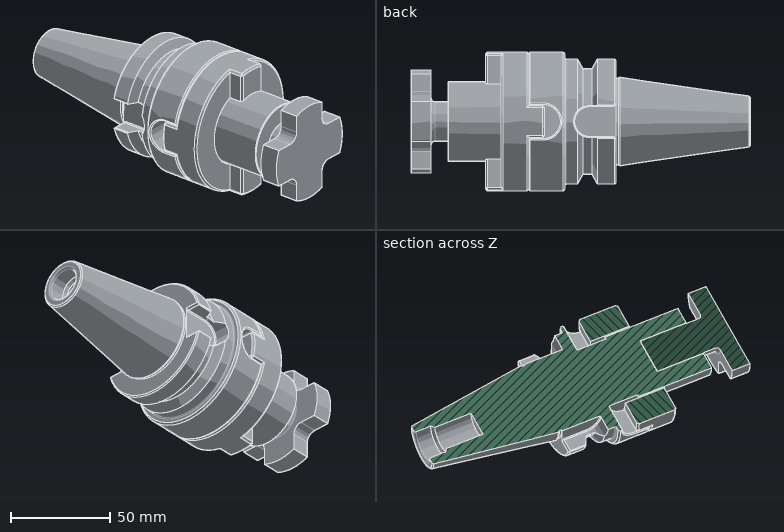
import cadquery as cq
import math


total_length = 170.4
overshoot = 1.7

tolerance = 0.002
edge_samples = (0.1, 0.5, 0.9)

taper_small_radius = 12.8
taper_length = 65.5
taper_slope = 7 / 24 / 2
taper_large_radius = taper_small_radius + taper_slope * taper_length
taper_end_chamfer = 0.7
relief_start = 66.3
relief_radius = 21.8

flange_start = 67.5
flange_radius = 63 / 2
flange_chamfer = 0.7
flange_fillet = 0.5
groove_radius = 26.5
groove_left = 76.9
groove_floor_left = 79.5
groove_floor_right = 84.0
groove_right = 86.9

collar_start = 93.0
collar_radius = 70.0 / 2
collar_end = 111.3
collar_chamfer = 1.0
collar_rim_chamfer = 0.7
pilot_radius = 40.0 / 2
pilot_end = 152.0
pilot_chamfer = 0.3

entry_bore_radius = 17 / 2
entry_bore_depth = 9.0
entry_fillet = 1.0
thread_bore_radius = 13.8 / 2
entry_cone_length = entry_bore_radius - thread_bore_radius
thread_bore_depth = 30.7

keyway_width = 16.0
keyway_floor = 22.3
keyway_end = 88.8
keyway_floor_chamfer = 0.5
keyway_mouth_chamfer = 1.0
keyway_rim_chamfer = 0.5

ring_bore_radius = 40.9 / 2
ring_face = 125.2
lug_width = 16.0
lug_chamfer = 1.0
back_lug_tip = 103.5
front_lug_tip = 133.0

lug_slot_width = 17.2
lug_slot_end = 95.5
lug_slot_floor = math.sqrt(ring_bore_radius**2 - (lug_width / 2) ** 2)

shank_radius = 20.0 / 2
shank_depth = 25.5
shank_fillet = 1.9
head_start = 160.3
head_radius = 25.99
head_lobe_width = 20.1
head_corner_radius = 5.0


def turned(points):
    """Solid of revolution about X from (x, radius) points."""
    return cq.Workplane("XY").polyline(points).close().revolve(360, (0, 0, 0), (1, 0, 0))


def cylinder(start, end, radius):
    """Cylinder along X."""
    return cq.Workplane("YZ", origin=(start, 0, 0)).circle(radius).extrude(end - start)


def round_ended_slot(end, open_end, width, floor):
    """Cutter for a slot on the +Y side with a round end at low or high X."""
    side = 1 if open_end > end else -1
    half = width / 2
    center = end + side * half
    height = collar_radius + overshoot - floor
    return (
        cq.Workplane("XZ", origin=(0, floor, 0))
        .moveTo(open_end, -half)
        .lineTo(center, -half)
        .threePointArc((end, 0), (center, half))
        .lineTo(open_end, half)
        .close()
        .extrude(-height)
    )


def both_sides(cutter):
    """The +Y cutter followed by its copy on the -Y side."""
    return [cutter.rotate((0, 0, 0), (1, 0, 0), angle) for angle in (0, 180)]


def keyway_cutter():
    """Drive keyway with a chamfered floor, mouth and outer rim."""
    half = keyway_width / 2
    slot = round_ended_slot(keyway_end, flange_start - overshoot, keyway_width, keyway_floor)
    slot = slot.faces("<Y").chamfer(keyway_floor_chamfer)

    wide = half + keyway_mouth_chamfer
    mouth = (
        cq.Workplane("XZ", origin=(0, keyway_floor, 0))
        .polyline([
            (flange_start, -wide),
            (flange_start, wide),
            (flange_start + keyway_mouth_chamfer, half),
            (flange_start + keyway_mouth_chamfer, -half),
        ])
        .close()
        .extrude(-flange_radius)
    )

    rim_start = math.sqrt(flange_radius**2 - half**2) - keyway_rim_chamfer
    rim_rise = flange_radius - rim_start
    rim = (
        cq.Workplane("YZ", origin=(flange_start, 0, 0))
        .polyline([
            (rim_start, -half),
            (rim_start, half),
            (flange_radius, half + rim_rise),
            (flange_radius, -half - rim_rise),
        ])
        .close()
        .extrude(groove_left - flange_start)
    )
    return slot.union(mouth).union(rim)


def is_flange_corner(edge):
    """The circle where the flange rim meets the collar face."""
    points = [edge.positionAt(share) for share in edge_samples]
    return all(
        abs(point.x - collar_start) < tolerance
        and abs(math.hypot(point.y, point.z) - flange_radius) < tolerance
        for point in points
    )


def is_collar_rim(edge):
    """Edges on the collar's outer surface beyond its first chamfer: its end and the lug slots."""
    points = [edge.positionAt(share) for share in edge_samples]
    return all(
        point.x > collar_start + collar_chamfer + tolerance
        and abs(math.hypot(point.y, point.z) - collar_radius) < tolerance
        for point in points
    )


def make_arbor():
    arbor = turned([
        (0, 0),
        (0, taper_small_radius - taper_end_chamfer),
        (taper_end_chamfer, taper_small_radius + taper_slope * taper_end_chamfer),
        (taper_length, taper_large_radius),
        (relief_start, relief_radius),
        (flange_start, relief_radius),
        (flange_start, flange_radius - flange_chamfer),
        (flange_start + flange_chamfer, flange_radius),
        (groove_left, flange_radius),
        (groove_floor_left, groove_radius),
        (groove_floor_right, groove_radius),
        (groove_right, flange_radius),
        (collar_start, flange_radius),
        (collar_start, collar_radius - collar_chamfer),
        (collar_start + collar_chamfer, collar_radius),
        (collar_end, collar_radius),
        (collar_end, pilot_radius),
        (pilot_end - pilot_chamfer, pilot_radius),
        (pilot_end, pilot_radius - pilot_chamfer),
        (pilot_end, 0),
    ])

    arbor = arbor.edges().filter(is_flange_corner).fillet(flange_fillet)

    arbor = arbor.cut(turned([
        (0, 0),
        (0, entry_bore_radius),
        (entry_bore_depth, entry_bore_radius),
        (entry_bore_depth + entry_cone_length, thread_bore_radius),
        (thread_bore_depth, thread_bore_radius),
        (thread_bore_depth, 0),
    ]))
    arbor = arbor.faces("<X").edges(cq.selectors.RadiusNthSelector(0)).fillet(entry_fillet)

    arbor = arbor.cut(cylinder(pilot_end - shank_depth, pilot_end, shank_radius))

    for keyway in both_sides(keyway_cutter()):
        arbor = arbor.cut(keyway)
    lug_slot = round_ended_slot(lug_slot_end, collar_end, lug_slot_width, lug_slot_floor)
    for slot in both_sides(lug_slot):
        arbor = arbor.cut(slot)
    return arbor.edges().filter(is_collar_rim).chamfer(collar_rim_chamfer)


def lug_pair(start, end, tip, angle):
    """Bar across the axis forming two opposite lugs, chamfered at the tip and outer edges."""
    bar = (
        cq.Workplane("YZ", origin=(start, 0, 0))
        .rect(lug_width, 2 * collar_radius + overshoot)
        .extrude(end - start)
        .intersect(cylinder(start, end, collar_radius))
        .edges(f"|X or {tip}")
        .chamfer(lug_chamfer)
    )
    return bar.rotate((0, 0, 0), (1, 0, 0), angle)


def make_driving_ring():
    ring = cylinder(collar_end, ring_face, collar_radius).edges().chamfer(lug_chamfer)
    front_lugs = lug_pair(collar_end + lug_chamfer, front_lug_tip, ">X", 0)
    back_lugs = lug_pair(back_lug_tip, ring_face - lug_chamfer, "<X", 90)
    ring = ring.union(front_lugs).union(back_lugs)
    return ring.cut(cylinder(back_lug_tip, front_lug_tip, ring_bore_radius))


def make_clamp_screw():
    head = cylinder(head_start, total_length, head_radius)
    half = head_lobe_width / 2
    notch = (
        cq.Workplane("YZ", origin=(head_start, 0, 0))
        .rect(head_radius, head_radius, centered=False)
        .extrude(total_length - head_start)
        .edges("|X and <Y and <Z")
        .fillet(head_corner_radius)
        .translate((0, half, half))
    )
    for angle in (0, 90, 180, 270):
        head = head.cut(notch.rotate((0, 0, 0), (1, 0, 0), angle))

    shank_start = pilot_end - shank_depth
    arc_middle = shank_fillet * math.sqrt(0.5)
    shank = (
        cq.Workplane("XY")
        .moveTo(shank_start, 0)
        .lineTo(shank_start, shank_radius)
        .lineTo(head_start - shank_fillet, shank_radius)
        .threePointArc(
            (head_start - shank_fillet + arc_middle, shank_radius + shank_fillet - arc_middle),
            (head_start, shank_radius + shank_fillet),
        )
        .lineTo(head_start, 0)
        .close()
        .revolve(360, (0, 0, 0), (1, 0, 0))
    )
    return head.union(shank)


arbor = make_arbor()
driving_ring = make_driving_ring()
clamp_screw = make_clamp_screw()

result = cq.Compound.makeCompound([arbor.val(), driving_ring.val(), clamp_screw.val()])